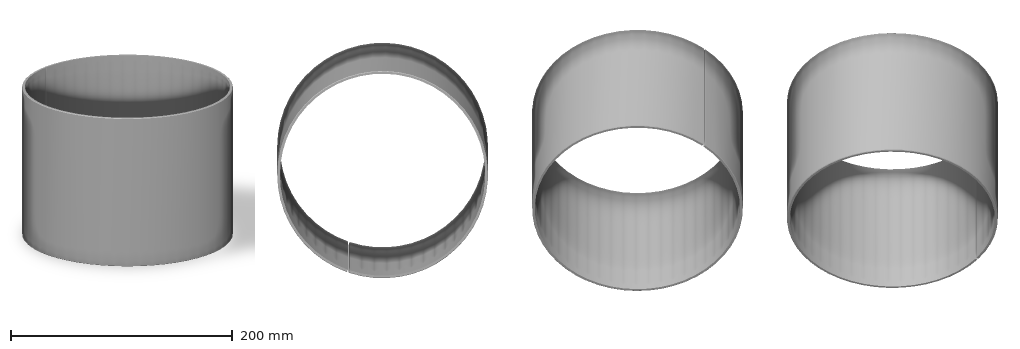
import cadquery as cq

outer_diameter = 190.0
height = 140.0
wall_thickness = 2.5
rim_chamfer = 0.5
slit_angle = 1.0

outer_radius = outer_diameter / 2
mean_radius = outer_radius - wall_thickness / 2

wall_section = (
    cq.Sketch()
    .rect(wall_thickness, height)
    .vertices("<X")
    .chamfer(rim_chamfer)
    .moved(cq.Location(cq.Vector(-mean_radius, height / 2, 0)))
)

result = (
    cq.Workplane("XZ")
    .placeSketch(wall_section)
    .revolve(360 - slit_angle, (0, 0, 0), (0, 1, 0))
)